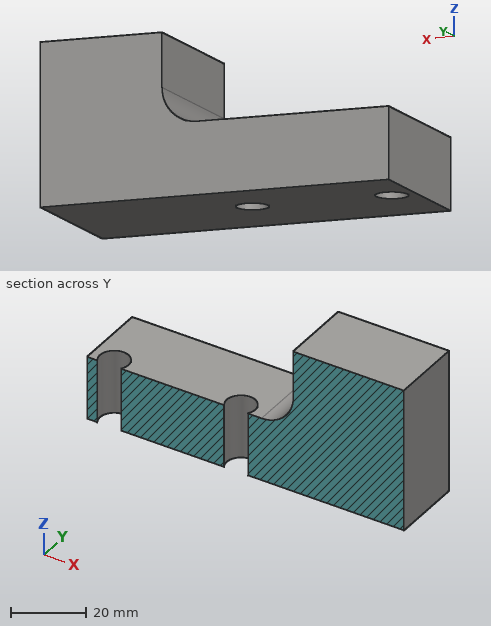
import cadquery as cq

length = 100.0
width = 45.0
height = 45.0

foot_height = 20.0
foot_length = 65.0
corner_radius = 10.0

hole_diameter = 9.0
hole_end_distance = 7.0
hole_spacing = 40.0
hole_side_distance = 25.0


def make_body():
    """L-shaped body with a rounded inside corner, extruded across the width."""
    return (
        cq.Workplane("XZ")
        .moveTo(0, 0)
        .lineTo(length, 0)
        .lineTo(length, height)
        .lineTo(foot_length, height)
        .lineTo(foot_length, foot_height + corner_radius)
        .radiusArc((foot_length - corner_radius, foot_height), corner_radius)
        .lineTo(0, foot_height)
        .close()
        .extrude(-width)
    )


def make_mounting_holes():
    """Cutters for the two vertical holes along the foot."""
    hole_centres = [
        (hole_end_distance, hole_side_distance),
        (hole_end_distance + hole_spacing, hole_side_distance),
    ]
    return (
        cq.Workplane("XY")
        .pushPoints(hole_centres)
        .circle(hole_diameter / 2)
        .extrude(foot_height)
    )


result = make_body().cut(make_mounting_holes())